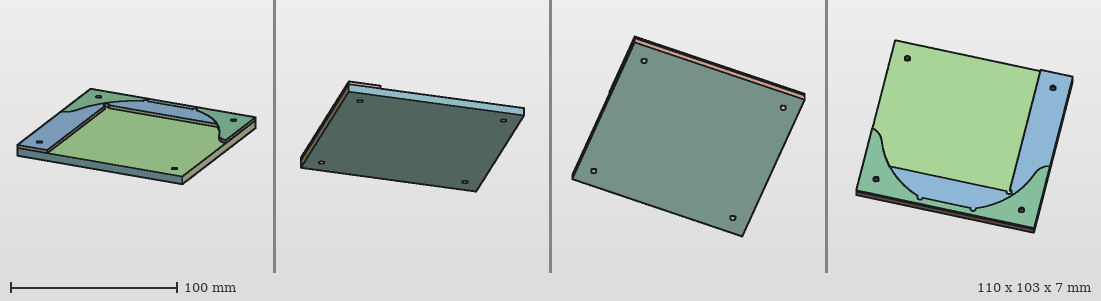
import cadquery as cq
import math

length = 110.0
width = 103.0
height = 7.0
layer_thickness = 2.0
base_thickness = height - layer_thickness

hole_diameter = 3.2
hole_inset = 10.0

arch_radius = 50.0
arch_flat_half_length = 16.4
arch_flat_y = math.sqrt(arch_radius**2 - arch_flat_half_length**2)
shoulder_radius = 10.0
shoulder_center_y = 19.1

cutout_inset = 20.0
relief_diameter = 3.2

half_length = length / 2
half_width = width / 2


def plate(thickness, bottom_z):
    """Full-size rectangular plate."""
    return cq.Workplane("XY", origin=(0, 0, bottom_z)).box(
        length, width, thickness, centered=(True, True, False)
    )


def layer_plane():
    """Workplane at the underside of the top layer."""
    return cq.Workplane("XY", origin=(0, 0, base_thickness))


def corner_holes():
    """Cutters for the holes through the whole stack."""
    return (
        cq.Workplane("XY")
        .rect(length - 2 * hole_inset, width - 2 * hole_inset, forConstruction=True)
        .vertices()
        .circle(hole_diameter / 2)
        .extrude(height)
    )


def reliefs(points):
    """Round corner reliefs through the top layer."""
    return layer_plane().pushPoints(points).circle(relief_diameter / 2).extrude(layer_thickness)


def arched_opening():
    """Arch with a flat crown, flared out to both sides by tangent shoulders."""
    center_distance = arch_radius + shoulder_radius
    shoulder_center_x = math.sqrt(center_distance**2 - shoulder_center_y**2)
    tangent_x = shoulder_center_x * arch_radius / center_distance
    tangent_y = shoulder_center_y * arch_radius / center_distance
    tangent_angle = math.atan2(tangent_y, tangent_x)
    crown_angle = math.atan2(arch_flat_y, arch_flat_half_length)

    arch_mid_angle = (tangent_angle + crown_angle) / 2
    arch_mid_x = arch_radius * math.cos(arch_mid_angle)
    arch_mid_y = arch_radius * math.sin(arch_mid_angle)

    def shoulder_y(x):
        return shoulder_center_y - math.sqrt(shoulder_radius**2 - (x - shoulder_center_x) ** 2)

    shoulder_end_y = shoulder_y(half_length)
    shoulder_mid_x = (half_length + tangent_x) / 2
    shoulder_mid_y = shoulder_y(shoulder_mid_x)

    opening = (
        layer_plane()
        .moveTo(-half_length, -half_width)
        .lineTo(half_length, -half_width)
        .lineTo(half_length, shoulder_end_y)
        .threePointArc((shoulder_mid_x, shoulder_mid_y), (tangent_x, tangent_y))
        .threePointArc((arch_mid_x, arch_mid_y), (arch_flat_half_length, arch_flat_y))
        .lineTo(-arch_flat_half_length, arch_flat_y)
        .threePointArc((-arch_mid_x, arch_mid_y), (-tangent_x, tangent_y))
        .threePointArc((-shoulder_mid_x, shoulder_mid_y), (-half_length, shoulder_end_y))
        .close()
        .extrude(layer_thickness)
    )
    crown_corners = [(side * arch_flat_half_length, arch_flat_y) for side in (-1, 1)]
    return opening.union(reliefs(crown_corners))


def insert_cutout():
    """Rectangle open to the +X and -Y sides, with a relief at its inner corner."""
    corner = (cutout_inset - half_length, half_width - cutout_inset)
    rectangle = (
        layer_plane()
        .moveTo(*corner)
        .rect(length - cutout_inset, cutout_inset - width, centered=False)
        .extrude(layer_thickness)
    )
    return rectangle.union(reliefs([corner]))


def make_base():
    """Thick plate under the other two bodies."""
    return plate(base_thickness, 0).cut(corner_holes())


def make_frame():
    """Part of the top layer outside the arch."""
    return plate(layer_thickness, base_thickness).cut(arched_opening()).cut(corner_holes())


def make_insert():
    """L-shaped part of the top layer that fills the arch around the cutout."""
    return arched_opening().cut(insert_cutout()).cut(corner_holes())


base = make_base()
frame = make_frame()
insert = make_insert()

solids = [body.solids().val() for body in (base, frame, insert)]
result = cq.Compound.makeCompound(solids)